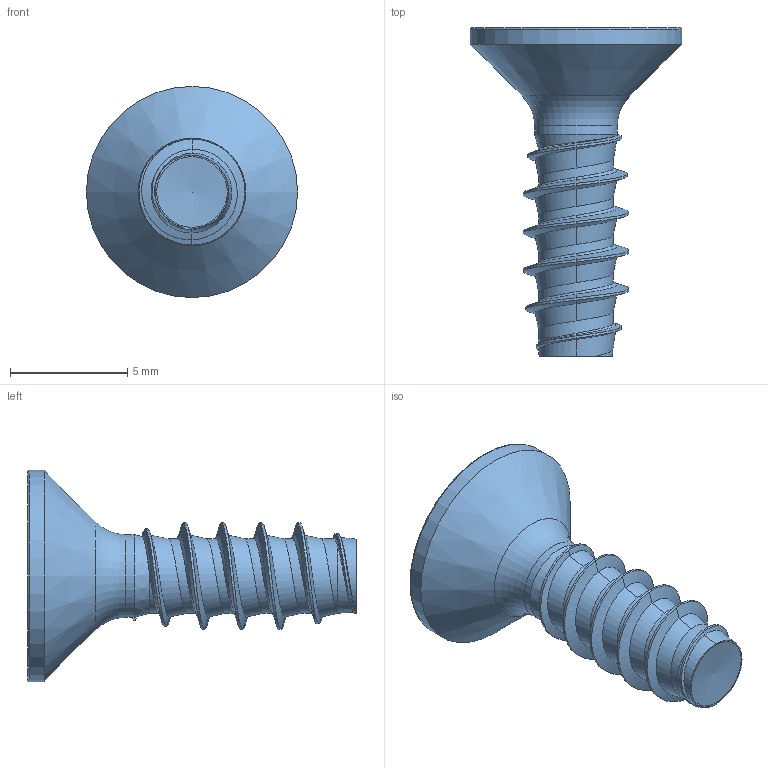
import cadquery as cq
import math


LENGTH = 14.0
HEAD_RADIUS = 4.5
HEAD_RIM_DEPTH = 0.7
HEAD_EDGE_RADIUS = 0.08
HEAD_CONE_ANGLE = math.radians(45)
SHANK_RADIUS = 1.766
SHANK_END_DEPTH = 4.53
NECK_FILLET_RADIUS = 1.8

CORE_RADIUS = 1.59
CORE_START_DEPTH = 5.2
TIP_TAPER_DEPTH = 13.2
TIP_RADIUS = 1.555

TIP_HOLLOW_RADIUS = 1.505
TIP_HOLLOW_DEPTH = 0.12

PITCH = 1.627
THREAD_END_DEPTH = LENGTH
THREAD_TURNS = 6.0
LEAD_IN_SHIFT = 0.3
LEAD_IN_TURNS = 2 * LEAD_IN_SHIFT / PITCH

POINTS_PER_TURN = 24
STRETCH_STEPS = 12

CREST_RADIUS = 2.26
START_CREST_RADIUS = 1.88
GROWTH_TURNS = 1.5
CREST_FADE_TURNS = 1.5
CREST_HALF_WIDTH = 0.05
FLANK_SLOPE = 0.29

SHOULDER_RADIUS = 1.745
SHOULDER_FADE_TURNS = 1.0
SHOULDER_DROP = 0.2
FOOT_WIDTH = 0.125
TAIL_LENGTH = 1.03
START_TAIL_LENGTH = 0.6
TAIL_GROWTH_TURNS = 0.25
TAIL_DROP = 0.04
BURY_STEP = 0.02
ROOT_RADIUS = 1.51


def ramp(value, start, span):
    """Rise linearly from 0 at start to 1 at start + span, constant outside."""
    return min(max((value - start) / span, 0.0), 1.0)


def make_body():
    """Revolve the head, neck fillet, shank, core and hollow tip about Y."""
    fillet_center_radius = SHANK_RADIUS + NECK_FILLET_RADIUS
    fillet_top_radius = fillet_center_radius - NECK_FILLET_RADIUS * math.cos(HEAD_CONE_ANGLE)
    fillet_top_depth = HEAD_RIM_DEPTH + (HEAD_RADIUS - fillet_top_radius) / math.tan(HEAD_CONE_ANGLE)
    fillet_end_depth = fillet_top_depth + NECK_FILLET_RADIUS * math.sin(HEAD_CONE_ANGLE)
    half_angle = HEAD_CONE_ANGLE / 2
    fillet_mid = (
        fillet_center_radius - NECK_FILLET_RADIUS * math.cos(half_angle),
        -fillet_end_depth + NECK_FILLET_RADIUS * math.sin(half_angle),
    )
    edge_setback = HEAD_EDGE_RADIUS * (1 - math.cos(math.radians(45)))
    profile = (
        cq.Workplane("XY")
        .moveTo(0, 0)
        .lineTo(HEAD_RADIUS - HEAD_EDGE_RADIUS, 0)
        .threePointArc((HEAD_RADIUS - edge_setback, -edge_setback), (HEAD_RADIUS, -HEAD_EDGE_RADIUS))
        .lineTo(HEAD_RADIUS, -HEAD_RIM_DEPTH)
        .lineTo(fillet_top_radius, -fillet_top_depth)
        .threePointArc(fillet_mid, (SHANK_RADIUS, -fillet_end_depth))
        .lineTo(SHANK_RADIUS, -SHANK_END_DEPTH)
        .lineTo(CORE_RADIUS, -CORE_START_DEPTH)
        .lineTo(CORE_RADIUS, -TIP_TAPER_DEPTH)
        .lineTo(TIP_RADIUS, -LENGTH)
        .lineTo(TIP_HOLLOW_RADIUS, -LENGTH)
        .lineTo(0, -LENGTH + TIP_HOLLOW_DEPTH)
        .close()
    )
    return profile.revolve(360, (0, 0, 0), (0, 1, 0))


def crest_depth(turn):
    """Depth of the crest: it starts square to the axis and bends into the helix."""
    depth = THREAD_END_DEPTH - PITCH * (THREAD_TURNS - turn)
    lead_in_left = max(1 - turn / LEAD_IN_TURNS, 0.0)
    return depth + LEAD_IN_SHIFT * lead_in_left**2


def thread_section(turn):
    """Corners of the thread section as (offset toward the tip, radius)."""
    growth = ramp(turn, 0, GROWTH_TURNS)
    crest_fade = ramp(turn, THREAD_TURNS - CREST_FADE_TURNS, CREST_FADE_TURNS)
    shoulder_fade = ramp(turn, THREAD_TURNS - SHOULDER_FADE_TURNS, SHOULDER_FADE_TURNS)
    tail_growth = ramp(turn, 0, TAIL_GROWTH_TURNS)

    crest = START_CREST_RADIUS + (CREST_RADIUS - START_CREST_RADIUS) * growth
    crest -= (CREST_RADIUS - CORE_RADIUS) * crest_fade
    shoulder = SHOULDER_RADIUS - SHOULDER_DROP * shoulder_fade
    tail = CORE_RADIUS - BURY_STEP - TAIL_DROP * crest_fade
    shoulder_half_width = CREST_HALF_WIDTH + FLANK_SLOPE * (crest - shoulder)
    foot = -shoulder_half_width - FOOT_WIDTH
    tail_length = START_TAIL_LENGTH + (TAIL_LENGTH - START_TAIL_LENGTH) * tail_growth
    return [
        (foot, ROOT_RADIUS),
        (foot, tail),
        (-shoulder_half_width, shoulder),
        (-CREST_HALF_WIDTH, crest),
        (CREST_HALF_WIDTH, crest),
        (shoulder_half_width, shoulder),
        (tail_length, tail),
        (tail_length, ROOT_RADIUS),
    ]


def point_on_thread(turn, corner):
    """Place one section corner in space at the given turn."""
    offset, radius = corner
    angle = 2 * math.pi * turn
    depth = crest_depth(turn) + offset
    return cq.Vector(radius * math.sin(angle), -depth, -radius * math.cos(angle))


def skin_stretch(rows):
    """Ruled faces over one stretch of thread, one face per side of the section."""
    edges = [cq.Edge.makeSpline(list(path)) for path in zip(*rows)]
    return [
        cq.Face.makeRuledSurface(edge, following)
        for edge, following in zip(edges, edges[1:] + edges[:1])
    ]


def make_thread():
    """Skin the changing thread section along the helix and close its ends."""
    steps = round(THREAD_TURNS * POINTS_PER_TURN)
    turns = [step / POINTS_PER_TURN for step in range(steps + 1)]
    rows = [[point_on_thread(turn, corner) for corner in thread_section(turn)] for turn in turns]
    faces = []
    for first in range(0, steps, STRETCH_STEPS):
        faces += skin_stretch(rows[first : first + STRETCH_STEPS + 1])
    for end_row in (rows[0], rows[-1]):
        faces.append(cq.Face.makeFromWires(cq.Wire.makePolygon(end_row, close=True)))
    return cq.Workplane(cq.Solid.makeSolid(cq.Shell.makeShell(faces)))


def make_tip_trim():
    """Block beyond the tip face, to cut the thread flush with it."""
    trim_width = 4 * CREST_RADIUS
    trim_length = 2 * PITCH
    block = cq.Workplane("XY").box(trim_width, trim_length, trim_width)
    return block.translate((0, -LENGTH - trim_length / 2, 0))


thread = make_thread().cut(make_tip_trim())
result = make_body().union(thread)